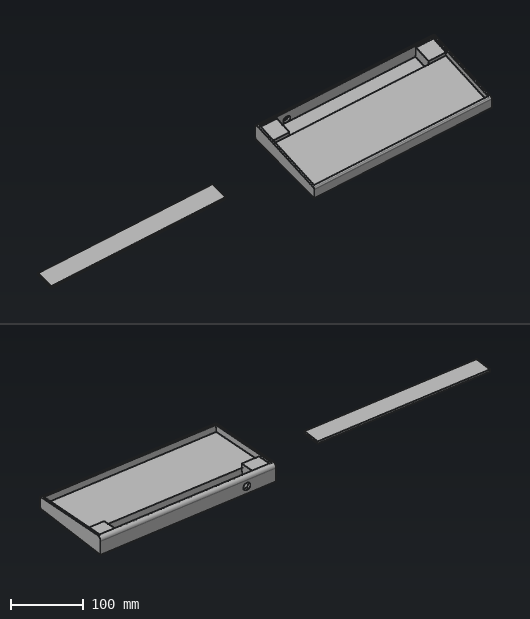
import cadquery as cq
import math

housing_length = 140.0
housing_width = 300.0
housing_height = 30.0
slope_angle = 4.1
front_edge_radius = 6.0
rear_edge_radius = 2.0

front_wall = 6.0
rear_wall = 5.0
side_wall = 3.1
tray_depth = 11.0
ledge_depth = 4.0
channel_depth = 23.5
channel_width = 30.0
ledge_width = 32.5

port_diameter = 12.0
port_from_side = 50.0
port_height = 12.5

overall_width = 694.0
cover_length = 31.0
cover_width = 294.0
cover_thickness = 4.0
cover_x = 39.5

housing_y = overall_width - housing_width
slope = math.tan(math.radians(slope_angle))
crest_offset = front_edge_radius * (1 / math.cos(math.radians(slope_angle)) - 1)
front_height = housing_height + crest_offset + front_edge_radius * slope
rear_height = front_height - housing_length * slope

top_plane = cq.Plane(
    origin=(0, housing_y, front_height),
    xDir=(math.cos(math.radians(slope_angle)), 0, -math.sin(math.radians(slope_angle))),
    normal=(math.sin(math.radians(slope_angle)), 0, math.cos(math.radians(slope_angle))),
)
slope_length = housing_length / math.cos(math.radians(slope_angle))


def make_wedge():
    """Solid wedge with rounded front and rear top edges."""
    wedge = (
        cq.Workplane("XZ", origin=(0, housing_y, 0))
        .polyline([(0, 0), (housing_length, 0), (housing_length, rear_height), (0, front_height)])
        .close()
        .extrude(-housing_width)
    )
    wedge = wedge.edges("|Y and >Z").fillet(front_edge_radius)
    rear_edge = cq.selectors.NearestToPointSelector(
        (housing_length, housing_y + housing_width / 2, rear_height)
    )
    return wedge.edges("|Y").edges(rear_edge).fillet(rear_edge_radius)


def recess(x_start, x_end, side_margin, depth):
    """Box cutter sunk from the sloping top and open above it."""
    return (
        cq.Workplane(top_plane)
        .workplane(offset=-depth)
        .moveTo(x_start, side_margin)
        .rect(x_end - x_start, housing_width - 2 * side_margin, centered=False)
        .extrude(2 * depth)
    )


def make_port():
    """Cylinder cutter that opens the front wall into the channel."""
    return (
        cq.Workplane("YZ")
        .center(housing_y + port_from_side, port_height)
        .circle(port_diameter / 2)
        .extrude(front_wall)
    )


def make_housing():
    channel_end = front_wall + channel_width
    tray = recess(channel_end, slope_length - rear_wall, side_wall, tray_depth)
    ledges = recess(front_wall, channel_end, side_wall, ledge_depth)
    channel = recess(front_wall, channel_end, ledge_width, channel_depth)
    return make_wedge().cut(tray).cut(ledges).cut(channel).cut(make_port())


def make_cover():
    return cq.Workplane("XY").box(cover_length, cover_width, cover_thickness, centered=False).translate(
        (cover_x, 0, 0)
    )


housing = make_housing()
cover = make_cover()
result = cq.Compound.makeCompound([housing.val(), cover.val()])